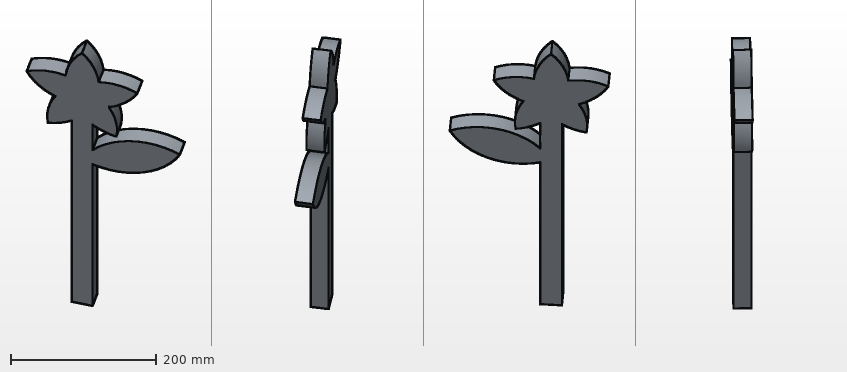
import cadquery as cq
import math

total_height = 493.0
thickness = 25.0
stem_width = 30.0

petal_count = 5
petal_tip_radius = 83.5
notch_radius = 40.5
petal_bulge = 5.0

leaf_tip = (140.0, 332.0)
leaf_top_root_z = 307.0
leaf_top_middle = (81.5, 341.5)
leaf_bottom_root_z = 278.5
leaf_bottom_middle = (92.0, 284.5)

flower_center_z = total_height - petal_tip_radius
half_stem = stem_width / 2


def flower_point(radius, angle):
    """Point at a polar position about the flower centre, angle in degrees."""
    turn = math.radians(angle)
    return (radius * math.cos(turn), flower_center_z + radius * math.sin(turn))


def extrude_profile(profile):
    """Extrude an XZ profile towards +Y by the part thickness."""
    return profile.extrude(-thickness)


def make_flower():
    petal_angle = 360 / petal_count
    first_tip_angle = 90
    profile = cq.Workplane("XZ").moveTo(*flower_point(petal_tip_radius, first_tip_angle))
    for i in range(petal_count):
        tip_angle = first_tip_angle + i * petal_angle
        notch = flower_point(notch_radius, tip_angle + petal_angle / 2)
        next_tip = flower_point(petal_tip_radius, tip_angle + petal_angle)
        profile = profile.sagittaArc(notch, -petal_bulge).sagittaArc(next_tip, -petal_bulge)
    return extrude_profile(profile.close())


def make_stem():
    profile = cq.Workplane("XZ").rect(stem_width, flower_center_z, centered=(True, False))
    return extrude_profile(profile)


def make_leaf():
    profile = (
        cq.Workplane("XZ")
        .moveTo(half_stem, leaf_bottom_root_z)
        .threePointArc(leaf_bottom_middle, leaf_tip)
        .threePointArc(leaf_top_middle, (half_stem, leaf_top_root_z))
        .close()
    )
    return extrude_profile(profile)


result = make_stem().union(make_flower()).union(make_leaf())